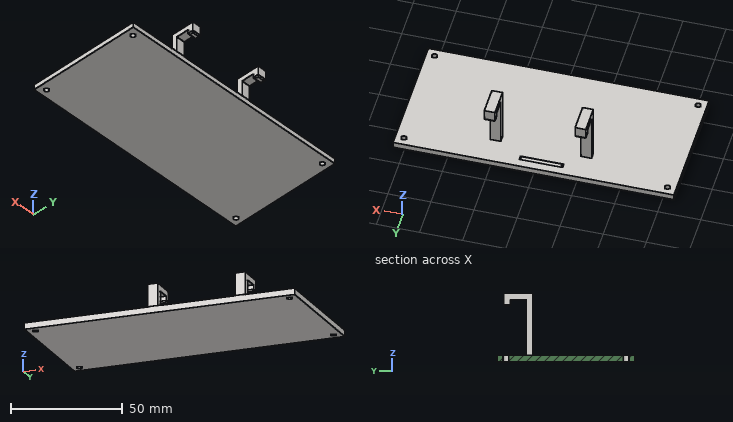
import cadquery as cq
import math

plate_length = 130.5
plate_width = 62.0
plate_thickness = 3.1
hole_diameter = 2.5
hole_inset = 4.0

total_height = 31.0
hook_width = 5.0
hook_spacing = 42.2
hook_reach = 13.2
hook_back_inset = 3.0
member_thickness = 3.1
tip_drop = 2.9
tip_thickness = 3.1
tip_straight = 2.1
tip_inset = 0.5

rib_length = 20.1
rib_width = 2.0
rib_height = 0.8
rib_center_x = -2.5
rib_back_inset = 5.1

plate_back = plate_width / 2
hook_back = plate_back - hook_back_inset
hook_front = hook_back - hook_reach
arm_underside = total_height - member_thickness


def make_plate():
    plate = cq.Workplane("XY").box(plate_length, plate_width, plate_thickness, centered=(True, True, False))
    return (
        plate.faces(">Z").workplane()
        .rect(plate_length - 2 * hole_inset, plate_width - 2 * hole_inset, forConstruction=True)
        .vertices().hole(hole_diameter)
    )


def make_hook(center_x):
    """Upright post with an arm toward +Y and a tapered tip hanging from the arm."""
    post_back = hook_front + member_thickness
    hook = (
        cq.Workplane("YZ", origin=(center_x, 0, 0))
        .moveTo(hook_front, plate_thickness)
        .lineTo(hook_front, total_height)
        .lineTo(hook_back, total_height)
        .lineTo(hook_back, arm_underside)
        .lineTo(post_back, arm_underside)
        .lineTo(post_back, plate_thickness)
        .close()
        .extrude(hook_width / 2, both=True)
    )
    tip_taper = math.degrees(math.atan2(tip_inset, tip_drop - tip_straight))
    tip = (
        cq.Workplane("XY", origin=(center_x, hook_back - tip_thickness / 2, arm_underside))
        .rect(hook_width, tip_thickness)
        .extrude(-tip_straight)
        .faces("<Z").workplane()
        .rect(hook_width, tip_thickness)
        .extrude(tip_drop - tip_straight, taper=tip_taper)
    )
    return hook.union(tip)


def make_rib():
    """Round-topped bar along X, trimmed by 45-degree planes at both ends."""
    center_y = plate_back - rib_back_inset
    bar = (
        cq.Workplane("YZ", origin=(rib_center_x, center_y, plate_thickness))
        .moveTo(-rib_width / 2, 0)
        .threePointArc((0, rib_height), (rib_width / 2, 0))
        .close()
        .extrude(rib_length / 2, both=True)
    )
    end_trim = (
        cq.Workplane("XZ", origin=(rib_center_x, center_y, plate_thickness))
        .moveTo(-rib_length / 2, 0)
        .lineTo(rib_length / 2, 0)
        .lineTo(rib_length / 2 - rib_height, rib_height)
        .lineTo(-rib_length / 2 + rib_height, rib_height)
        .close()
        .extrude(rib_width, both=True)
    )
    return bar.intersect(end_trim)


result = make_plate().union(make_rib())
for side in (-1, 1):
    result = result.union(make_hook(side * hook_spacing / 2))